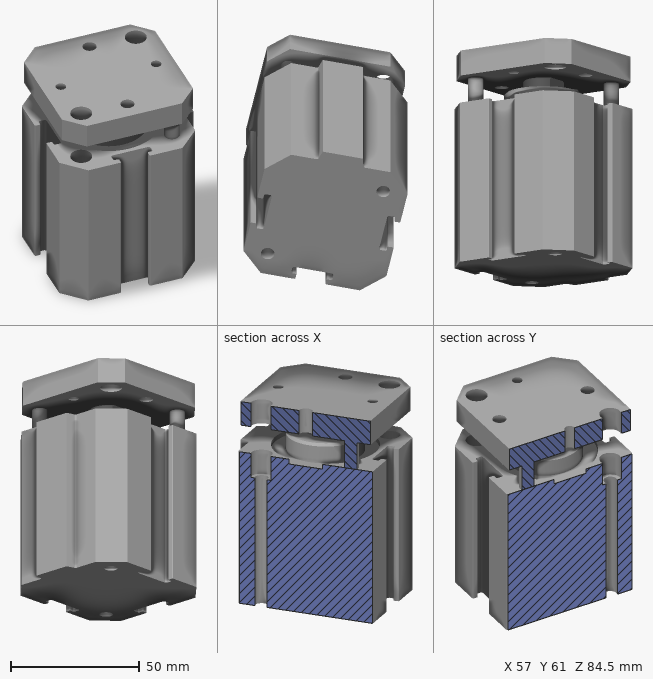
import cadquery as cq
import math


housing_width = 57.0
housing_height = 63.5
housing_corner = 8.75
half_width = housing_width / 2

rib_height = 4.0
rib_tip_width = 16.0
rib_flank_angle = 15.0
rib_root_radius = 0.8

slot_depth = 5.5
slot_mouth_width = 12.0
slot_inner_width = 16.4
slot_lip_depth = 2.1
slot_edge_chamfer = 0.3
slot_corner_chamfer = 0.5
slot_angles = (0, 90, 180)

recess_diameter = 42.5
recess_depth = 2.0
collar_diameter = 31.0
collar_rise = 6.0
collar_chamfer = 1.0

plate_width = 55.0
plate_thickness = 10.0
plate_corner = 7.5
plate_gap = 11.0
plate_bottom = housing_height + plate_gap

rod_diameter = 16.0
rod_flat_width = 13.0
rod_shoulder = 1.0
rod_chamfer = 0.5
collar_top = housing_height + collar_rise

corner_spacing = 38.0
corner_offset = corner_spacing / 2
pin_diameter = 6.0
pin_points = [(-corner_offset, -corner_offset), (corner_offset, corner_offset)]
mount_points = [(-corner_offset, corner_offset), (corner_offset, -corner_offset)]
mount_hole_diameter = 5.3
counterbore_diameter = 8.57
counterbore_depth = 10.0
access_hole_diameter = 8.57

tool_hole_offset = 20.0
side_hole_diameter = 5.5
front_hole_diameter = 4.13


def chamfered_block(width, corner, height):
    """Square block standing on Z = 0 with its four upright edges chamfered."""
    block = cq.Workplane("XY").rect(width, width).extrude(height)
    return block.edges("|Z").chamfer(corner)


def make_rib():
    """Tapered rib along the back face, with concave fillets at its root."""
    angle = math.radians(rib_flank_angle)
    tip = rib_tip_width / 2
    tip_y = half_width + rib_height
    half_turn = (math.pi / 2 - angle) / 2
    fillet_length = rib_root_radius * math.tan(half_turn)
    root = tip + rib_height * math.tan(angle)
    fillet_end = root + fillet_length
    fillet_start = (
        root - fillet_length * math.sin(angle),
        half_width + fillet_length * math.cos(angle),
    )
    fillet_middle = (
        fillet_end - rib_root_radius * math.sin(half_turn),
        half_width + rib_root_radius * (1 - math.cos(half_turn)),
    )
    half_rib = (
        cq.Workplane("XY")
        .moveTo(0, 0)
        .lineTo(fillet_end, 0)
        .lineTo(fillet_end, half_width)
        .threePointArc(fillet_middle, fillet_start)
        .lineTo(tip, tip_y)
        .lineTo(0, tip_y)
        .close()
        .extrude(housing_height)
    )
    return half_rib.union(half_rib.mirror("YZ"))


def make_slot():
    """T-slot cutter along the full height, opening through the -X face."""
    mouth = slot_mouth_width / 2
    inner = slot_inner_width / 2
    face = -half_width
    lip_end = face + slot_lip_depth
    floor = face + slot_depth
    half_outline = [
        (face, mouth + slot_edge_chamfer),
        (face + slot_edge_chamfer, mouth),
        (lip_end, mouth),
        (lip_end + slot_edge_chamfer, mouth + slot_edge_chamfer),
        (lip_end + slot_edge_chamfer, inner - slot_corner_chamfer),
        (lip_end + slot_edge_chamfer + slot_corner_chamfer, inner),
        (floor - slot_corner_chamfer, inner),
        (floor, inner - slot_corner_chamfer),
    ]
    mirrored_half = [(x, -y) for x, y in reversed(half_outline)]
    return cq.Workplane("XY").polyline(half_outline + mirrored_half).close().extrude(housing_height)


def make_collar():
    """Chamfered bearing collar rising from the recess floor."""
    return (
        cq.Workplane("XY", origin=(0, 0, housing_height - recess_depth))
        .circle(collar_diameter / 2)
        .extrude(recess_depth + collar_rise)
        .faces(">Z")
        .chamfer(collar_chamfer)
    )


def make_housing():
    body = chamfered_block(housing_width, housing_corner, housing_height).union(make_rib())
    slot = make_slot()
    for angle in slot_angles:
        body = body.cut(slot.rotate((0, 0, 0), (0, 0, 1), angle))
    top = cq.Workplane("XY", origin=(0, 0, housing_height))
    body = body.cut(top.circle(recess_diameter / 2).extrude(-recess_depth))
    mount_holes = top.pushPoints(mount_points).circle(mount_hole_diameter / 2).extrude(-housing_height)
    counterbores = top.pushPoints(mount_points).circle(counterbore_diameter / 2).extrude(-counterbore_depth)
    return body.cut(mount_holes).cut(counterbores).union(make_collar())


def make_rod():
    """Piston rod from the collar top to the plate, with two wrench flats above a round shoulder."""
    rod_length = plate_bottom - collar_top
    rod = cq.Workplane("XY", origin=(0, 0, collar_top)).circle(rod_diameter / 2).extrude(rod_length)
    rod = rod.faces(">Z").chamfer(rod_chamfer)
    flat_depth = (rod_diameter - rod_flat_width) / 2
    flat_centre = (rod_flat_width + flat_depth) / 2
    flats = (
        cq.Workplane("XY", origin=(0, 0, collar_top + rod_shoulder))
        .pushPoints([(-flat_centre, 0), (flat_centre, 0)])
        .rect(flat_depth, rod_diameter)
        .extrude(rod_length - rod_shoulder)
    )
    return rod.cut(flats)


def make_tool_plate():
    """Tool plate in one piece with the piston rod and the two guide pins."""
    plate = chamfered_block(plate_width, plate_corner, plate_thickness).translate((0, 0, plate_bottom))
    side_points = [(-tool_hole_offset, 0), (tool_hole_offset, 0)]
    front_points = [(0, -tool_hole_offset), (0, tool_hole_offset)]
    hole_groups = [
        (mount_points, access_hole_diameter),
        (side_points, side_hole_diameter),
        (front_points, front_hole_diameter),
    ]
    underside = cq.Workplane("XY", origin=(0, 0, plate_bottom))
    for points, diameter in hole_groups:
        plate = plate.cut(underside.pushPoints(points).circle(diameter / 2).extrude(plate_thickness))
    pins = underside.pushPoints(pin_points).circle(pin_diameter / 2).extrude(-plate_gap)
    return plate.union(pins).union(make_rod())


housing = make_housing()
tool_plate = make_tool_plate()

result = cq.Compound.makeCompound([housing.val(), tool_plate.val()])